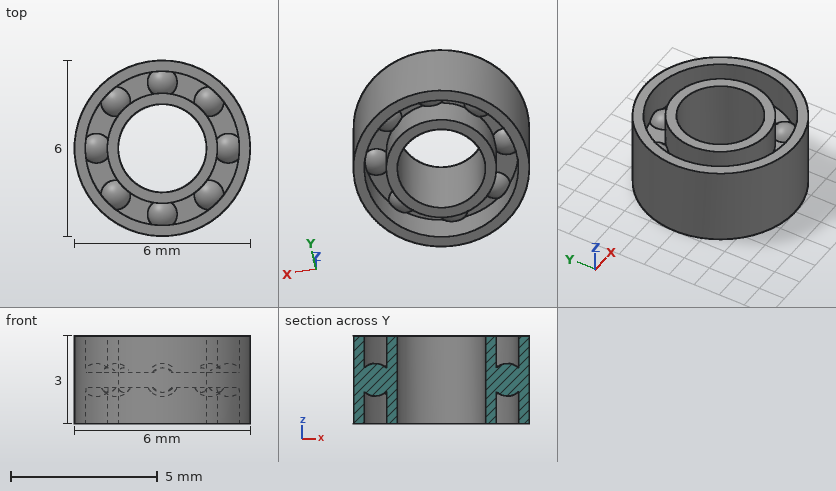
import cadquery as cq

outer_diameter = 6.0
bore_diameter = 3.0
width = 3.0
ring_wall = 0.375
ball_diameter = 1.125
ball_count = 8
web_thickness = 0.5

outer_ring_inner_diameter = outer_diameter - 2 * ring_wall
inner_ring_outer_diameter = bore_diameter + 2 * ring_wall
pitch_radius = (outer_diameter + bore_diameter) / 4
mid_height = width / 2


def ring(outside, inside, height, base=0.0):
    """Plain ring about the Z axis, standing on the given base height."""
    return (
        cq.Workplane("XY")
        .workplane(offset=base)
        .circle(outside / 2)
        .circle(inside / 2)
        .extrude(height)
    )


def balls():
    """Balls evenly spaced on the pitch circle at mid height."""
    return (
        cq.Workplane("XY")
        .workplane(offset=mid_height)
        .polarArray(pitch_radius, 0, 360, ball_count)
        .sphere(ball_diameter / 2, combine=False)
    )


outer_ring = ring(outer_diameter, outer_ring_inner_diameter, width)
inner_ring = ring(inner_ring_outer_diameter, bore_diameter, width)

web = ring(
    outer_ring_inner_diameter,
    inner_ring_outer_diameter,
    web_thickness,
    mid_height - web_thickness / 2,
)

result = outer_ring.union(web).union(inner_ring).union(balls())